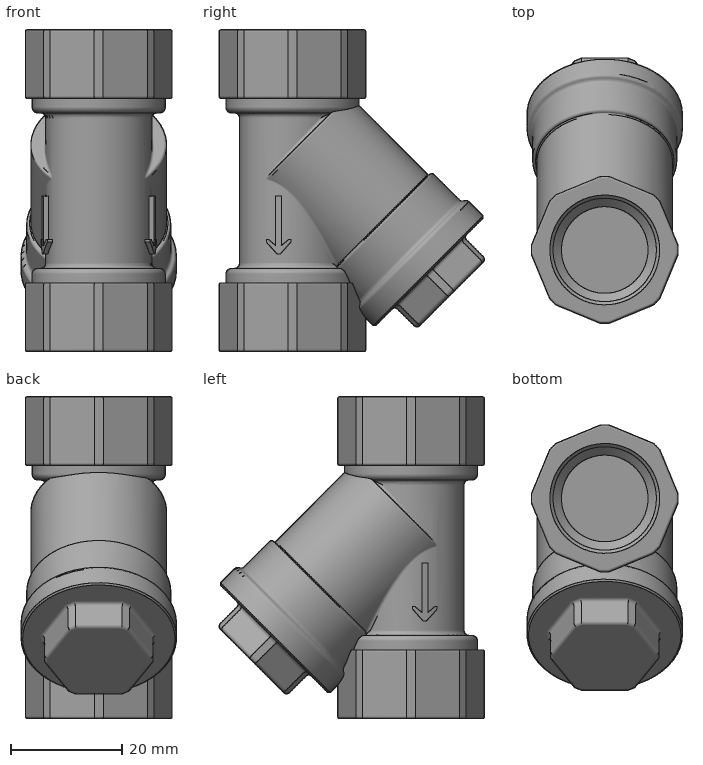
import cadquery as cq
import math


tolerance = 0.005

total_height = 58.0
half_height = total_height / 2
nut_height = 12.4
nut_sides = 8
nut_across_flats = 25.05
nut_width = 26.45
nut_edge_round = 0.4
collar_radius = 24.0 / 2
collar_height = 2.6
collar_round = 1.1
pipe_radius = 9.55
pipe_fillet = 0.85

bore_radius = 18.6 / 2
mouth_chamfer = 0.6
floor_radius = 15.6 / 2
bore_depth = nut_height

branch_tilt = 135.0
branch_origin_z = 10.05
branch_start = 2.1
branch_radius = 12.25
branch_end_round = 0.45
branch_pipe_fillet = 0.45
shoulder_radius = 13.0
shoulder_face = 22.5
shoulder_fillet = 0.25
flange_radius = 28.0 / 2
flange_rise_start = 29.45
flange_rise_end = 31.0
flange_end = 34.85
flange_edge_chamfer = 0.3
head_sides = 6
head_across_flats = 17.65
head_end = 40.5
head_corner_chamfer = 0.85
head_end_round = 0.7
head_fillet = 0.7

arrow_y = -2.5
arrow_top = -1.0
arrow_tip = -11.4
arrow_face_radius = 10.4
shaft_width = 1.05
barb_reach = 2.2
barb_top = -8.75
barb_width = 0.35
barb_drop = 0.5
notch_z = -9.85


def polygon_prism(sides, across_flats, height):
    """Prism on the XY plane with one corner on +X."""
    corner_diameter = across_flats / math.cos(math.pi / sides)
    return cq.Workplane("XY").polygon(sides, corner_diameter).extrude(height)


def end_fitting():
    """Lower nut and the collar above it, with the concave blend to the pipe."""
    base = -half_height
    nut_top = base + nut_height
    collar_top = nut_top + collar_height
    corner_radius = nut_across_flats / 2 / math.cos(math.pi / nut_sides)
    corner_inset = corner_radius - nut_width / 2
    corner_leg = corner_inset / math.sin(math.pi / nut_sides)
    nut = (
        polygon_prism(nut_sides, nut_across_flats, nut_height)
        .edges("|Z")
        .chamfer(corner_leg)
        .faces("<Z or >Z")
        .fillet(nut_edge_round)
        .translate((0, 0, base))
    )
    fillet_radius = pipe_radius + pipe_fillet
    collar = (
        cq.Workplane("XZ")
        .moveTo(0, nut_top - nut_edge_round)
        .lineTo(collar_radius, nut_top - nut_edge_round)
        .lineTo(collar_radius, collar_top - collar_round)
        .radiusArc((collar_radius - collar_round, collar_top), -collar_round)
        .lineTo(fillet_radius, collar_top)
        .radiusArc((pipe_radius, collar_top + pipe_fillet), pipe_fillet)
        .lineTo(0, collar_top + pipe_fillet)
        .close()
        .revolve(360, (0, 0), (0, 1))
    )
    return nut.union(collar)


def bore():
    """Blind bore of the lower nut, with a chamfered mouth and a conical seat."""
    base = -half_height
    floor_z = base + bore_depth
    seat_height = bore_radius - floor_radius
    return (
        cq.Workplane("XZ")
        .moveTo(0, base)
        .lineTo(bore_radius + mouth_chamfer, base)
        .lineTo(bore_radius, base + mouth_chamfer)
        .lineTo(bore_radius, floor_z - seat_height)
        .lineTo(floor_radius, floor_z)
        .lineTo(0, floor_z)
        .close()
        .revolve(360, (0, 0), (0, 1))
    )


def both_ends(lower):
    return lower.union(lower.mirror("XY"))


def tilt_branch(upright):
    """Move a body drawn along +Z onto the branch axis."""
    return upright.rotate((0, 0, 0), (1, 0, 0), -branch_tilt).translate((0, 0, branch_origin_z))


def on_pipe_wall(edge):
    """True for the curved edges where the branch tube meets the pipe wall."""
    middle = edge.positionAt(0.5)
    off_wall = abs(math.hypot(middle.x, middle.y) - pipe_radius)
    return off_wall < tolerance and edge.geomType() not in ("LINE", "CIRCLE")


def pipe_with_tube():
    """Straight pipe joined to the plain branch tube with a fillet."""
    pipe_length = total_height - nut_height
    pipe = (
        cq.Workplane("XY")
        .circle(pipe_radius)
        .extrude(pipe_length / 2, both=True)
        .rotate((0, 0, 0), (0, 0, 1), 90)
    )
    tube = (
        cq.Workplane("XY", origin=(0, 0, branch_start))
        .circle(branch_radius)
        .extrude(flange_rise_end - branch_start)
        .faces("<Z")
        .edges()
        .fillet(branch_end_round)
    )
    return pipe.union(tilt_branch(tube)).edges().filter(on_pipe_wall).fillet(branch_pipe_fillet)


def branch_cap():
    """Shoulder, flange and hexagonal head at the outer end of the branch."""
    shoulder_round = shoulder_radius - branch_radius - shoulder_fillet
    rise_length = flange_rise_end - flange_rise_start
    rise_height = flange_radius - shoulder_radius
    rise_arc = (rise_length**2 + rise_height**2) / (4 * rise_height)
    rise_middle = (shoulder_radius + rise_height / 2, flange_rise_start + rise_length / 2)
    tube_end = shoulder_face - shoulder_fillet
    collar = (
        cq.Workplane("XZ")
        .moveTo(0, tube_end)
        .lineTo(branch_radius, tube_end)
        .radiusArc((branch_radius + shoulder_fillet, shoulder_face), shoulder_fillet)
        .radiusArc((shoulder_radius, shoulder_face + shoulder_round), -shoulder_round)
        .lineTo(shoulder_radius, flange_rise_start)
        .radiusArc(rise_middle, rise_arc)
        .radiusArc((flange_radius, flange_rise_end), -rise_arc)
        .lineTo(flange_radius, flange_end - flange_edge_chamfer)
        .lineTo(flange_radius - flange_edge_chamfer, flange_end)
        .lineTo(0, flange_end)
        .close()
        .revolve(360, (0, 0), (0, 1))
    )
    head = (
        polygon_prism(head_sides, head_across_flats, head_end - flange_rise_end)
        .edges("|Z")
        .chamfer(head_corner_chamfer)
        .faces(">Z")
        .edges()
        .fillet(head_end_round)
        .translate((0, 0, flange_rise_end))
    )
    head_foot = cq.selectors.BoxSelector(
        (-flange_radius, -flange_radius, flange_end - tolerance),
        (flange_radius, flange_radius, flange_end + tolerance),
    )
    cap = collar.union(head).edges(head_foot).edges("%LINE").fillet(head_fillet)
    return tilt_branch(cap)


def flow_arrow():
    """Arrow pointing down, as a bar ending in a curved face on both sides of the pipe."""
    half_shaft = shaft_width / 2
    right_side = [
        (half_shaft, arrow_top),
        (half_shaft, notch_z),
        (barb_reach - barb_width, barb_top),
        (barb_reach, barb_top),
        (barb_reach, barb_top - barb_drop),
        (half_shaft / 2, arrow_tip),
    ]
    left_side = [(-y, z) for y, z in reversed(right_side)]
    bar = (
        cq.Workplane("YZ", origin=(0, arrow_y, 0))
        .polyline(right_side + left_side)
        .close()
        .extrude(arrow_face_radius, both=True)
    )
    face_cylinder = cq.Workplane("XY").circle(arrow_face_radius).extrude(half_height, both=True)
    return bar.intersect(face_cylinder)


result = (
    pipe_with_tube()
    .union(both_ends(end_fitting()))
    .union(branch_cap())
    .union(flow_arrow())
    .cut(both_ends(bore()))
)